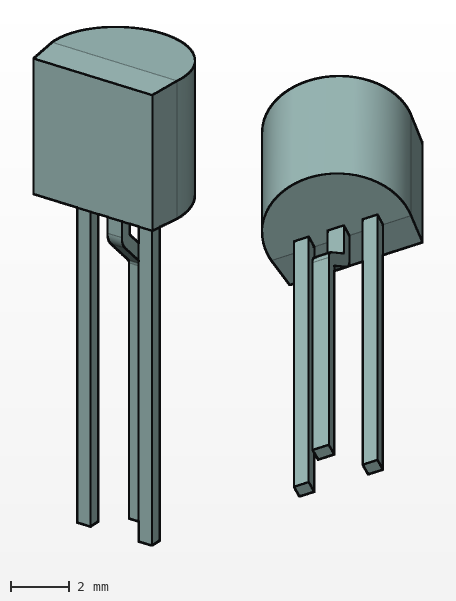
import cadquery as cq
import math

package_width = 5.19
package_depth = 4.15
package_height = 5.25
front_depth = 1.3
end_draft = 2.0
back_depth = package_depth - front_depth
back_radius = package_width / 2
arc_center_y = back_depth - back_radius

side_draft = math.asin(arc_center_y / back_radius)
parting_half_width = back_radius * math.cos(side_draft)
front_half_width = parting_half_width - front_depth * math.tan(side_draft)

overall_height = 18.0
lead_pitch = 1.27
lead_thickness = 0.48
side_lead_width = 0.55
middle_lead_width = 0.6
middle_lead_bottom = package_height - overall_height
side_lead_shortfall = 0.03
side_lead_bottom = middle_lead_bottom + side_lead_shortfall
trim_allowance = 0.5

bend_offset = 1.3
bend_angle = math.radians(45)
bend_start_z = -1.36
inner_bend_radius = 0.2
outer_bend_radius = inner_bend_radius + lead_thickness


def make_package():
    outline = (
        cq.Workplane("XY")
        .moveTo(-front_half_width, -front_depth)
        .lineTo(front_half_width, -front_depth)
        .lineTo(parting_half_width, 0)
        .threePointArc((0, back_depth), (-parting_half_width, 0))
        .close()
        .extrude(package_height)
    )
    slope = math.tan(math.radians(end_draft))
    front_drop = front_depth * slope
    back_drop = back_depth * slope
    end_profile = (
        cq.Workplane("YZ")
        .polyline([
            (-front_depth, front_drop),
            (0, 0),
            (back_depth, back_drop),
            (back_depth, package_height - back_drop),
            (0, package_height),
            (-front_depth, package_height - front_drop),
        ])
        .close()
        .extrude(package_width / 2, both=True)
    )
    return outline.intersect(end_profile)


def make_side_lead(x, package):
    lead = (
        cq.Workplane("XY", origin=(x, lead_thickness / 2, side_lead_bottom))
        .rect(side_lead_width, lead_thickness)
        .extrude(trim_allowance - side_lead_bottom)
    )
    return lead.cut(package)


def bend_point(radius, angle):
    """Step (back, down) along an arc that starts out vertical."""
    return radius * (1 - math.cos(angle)), radius * math.sin(angle)


def make_middle_lead(package):
    half_angle = bend_angle / 2
    outer_half = bend_point(outer_bend_radius, half_angle)
    outer_end = bend_point(outer_bend_radius, bend_angle)
    inner_half = bend_point(inner_bend_radius, half_angle)
    inner_end = bend_point(inner_bend_radius, bend_angle)

    slant_back = bend_offset - outer_end[0] - inner_end[0]
    slant_down = slant_back / math.tan(bend_angle)
    bend_end_z = bend_start_z - outer_end[1] - slant_down - inner_end[1]

    front_y = bend_offset
    back_y = bend_offset + lead_thickness
    profile = (
        cq.Workplane("YZ")
        .moveTo(0, trim_allowance)
        .lineTo(0, bend_start_z)
        .threePointArc(
            (outer_half[0], bend_start_z - outer_half[1]),
            (outer_end[0], bend_start_z - outer_end[1]),
        )
        .lineTo(front_y - inner_end[0], bend_end_z + inner_end[1])
        .threePointArc(
            (front_y - inner_half[0], bend_end_z + inner_half[1]),
            (front_y, bend_end_z),
        )
        .lineTo(front_y, middle_lead_bottom)
        .lineTo(back_y, middle_lead_bottom)
        .lineTo(back_y, bend_end_z)
        .threePointArc(
            (back_y - outer_half[0], bend_end_z + outer_half[1]),
            (back_y - outer_end[0], bend_end_z + outer_end[1]),
        )
        .lineTo(lead_thickness + inner_end[0], bend_start_z - inner_end[1])
        .threePointArc(
            (lead_thickness + inner_half[0], bend_start_z - inner_half[1]),
            (lead_thickness, bend_start_z),
        )
        .lineTo(lead_thickness, trim_allowance)
        .close()
    )
    lead = profile.extrude(middle_lead_width / 2, both=True)
    return lead.cut(package)


package = make_package()
middle_lead = make_middle_lead(package)
side_leads = [make_side_lead(x, package) for x in (-lead_pitch, lead_pitch)]

result = cq.Compound.makeCompound([
    package.val(),
    middle_lead.val(),
    *[lead.val() for lead in side_leads],
])